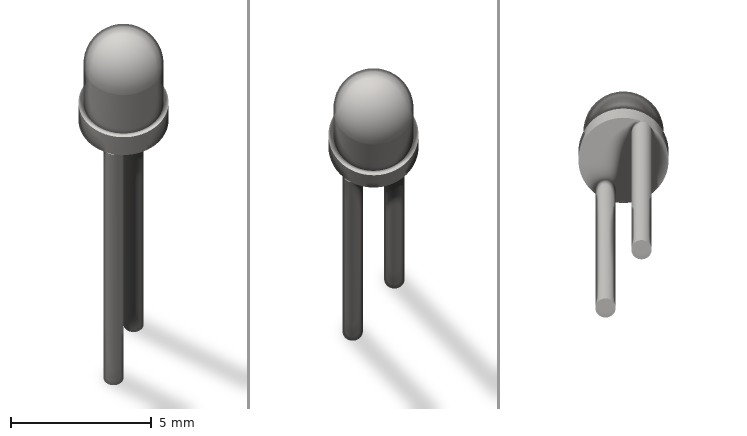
import cadquery as cq

total_height = 17.6

lens_radius = 1.43
flange_diameter = 3.2
flange_height = 1.0

lead_length = 13.0
lead_diameter = 0.72
lead_pitch = 2.53

flange_top = lead_length + flange_height
dome_base = total_height - lens_radius


def make_body():
    """Revolve the half profile of the flange, lens and dome about Z."""
    return (
        cq.Workplane("XZ")
        .moveTo(0, lead_length)
        .lineTo(flange_diameter / 2, lead_length)
        .lineTo(flange_diameter / 2, flange_top)
        .lineTo(lens_radius, flange_top)
        .lineTo(lens_radius, dome_base)
        .radiusArc((0, total_height), -lens_radius)
        .close()
        .revolve(360, (0, 0), (0, 1))
    )


def make_leads():
    """Two straight leads ending on the underside of the flange."""
    return (
        cq.Workplane("XY")
        .pushPoints([(0, side * lead_pitch / 2) for side in (-1, 1)])
        .circle(lead_diameter / 2)
        .extrude(lead_length)
    )


result = make_body().union(make_leads())